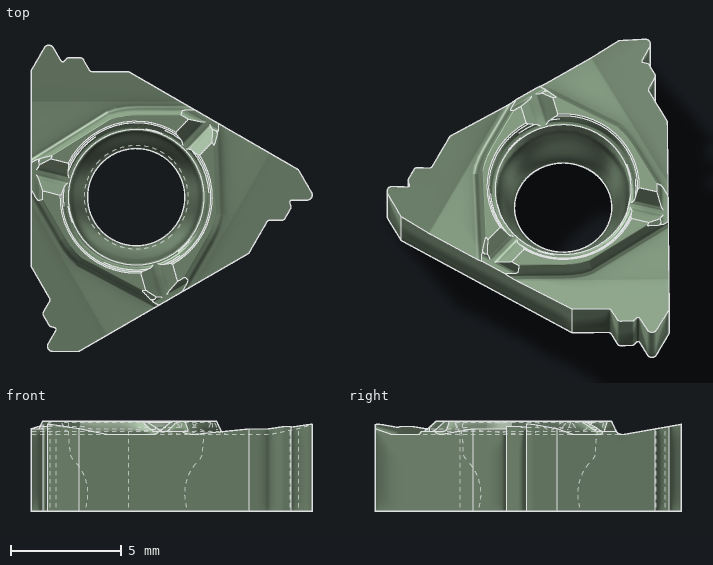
import cadquery as cq
import math

CORNER_ANGLES = (0, 120, 240)
REACH = 20.0
COINCIDENT = 1e-6

TOTAL_HEIGHT = 4.1
FLOOR_HEIGHT = 3.5
SEAT_HEIGHT = 3.63

INSCRIBED_RADIUS = 9.525 / 2
SIDE = (180, INSCRIBED_RADIUS)
NEXT_SIDE = (60, INSCRIBED_RADIUS)
REAR_FLANK = (150, 7.0)
FRONT_FLANK = (30, 0.14)
RELIEF = (135, 6.676)
SHOULDER = (90, 6.33)
SHOULDER_FLANK = (30, 1.047)
ROOT = (90, 5.7)
TOOTH_NOSE_RADIUS = 0.24
VALLEY_RADIUS = 0.085
SHOULDER_RADIUS = 0.16
ROOT_RADIUS = 0.16

RAKE_ANGLE = 10.0
RAKE_START = 4.29
RAKE_BLEND_RADIUS = 0.4
RAKE_OVERLAP = 0.5

WALL_DRAFT = 25.0
FRONT_WALL_FOOT = 4.2
FRONT_WALL_BEND = 24.0
REAR_WALL_ANGLE = 122.0
REAR_WALL_FOOT = 4.09
WALL_FOOT_RADIUS = 0.3
WALL_TOP_RADIUS = 0.06
END_WALL_FOOT = 4.57
END_WALL_FOOT_RADIUS = 0.165
FACET_ANGLE = 156.0
FACET_DRAFT = 50.0
FACET_TOP = 4.24
FACET_FOOT_HEIGHT = 3.72

GROOVE_DIRECTION = 46.0
GROOVE_HALF_WIDTH = 0.75
GROOVE_WALL_ANGLE = 38.5
GROOVE_ROOT_RADIUS = 0.3
GROOVE_INNER_END = 2.7

MOUTH_RADIUS = 3.45
MOUTH_FOOT_RADIUS = 3.3
MOUTH_FOOT_HEIGHT = 3.8
RIM_BREAK = 0.07
STEP_RADIUS = 3.12
HEAD_TOP_RADIUS = 3.08
HEAD_BOTTOM_RADIUS = 3.0
HEAD_BOTTOM_HEIGHT = 2.66
THROAT_RADIUS = 2.2
THROAT_HEIGHT = 0.8
THROAT_ARC_RADIUS = 2.15
THROAT_TOP_ANGLE = 46.0


def polar(radius, angle):
    return (radius * math.cos(math.radians(angle)), radius * math.sin(math.radians(angle)))


def meet(line_a, line_b):
    """Crossing point of two lines given as (normal direction, distance from the origin)."""
    (ax, ay), (bx, by) = polar(1, line_a[0]), polar(1, line_b[0])
    det = ax * by - ay * bx
    return ((line_a[1] * by - line_b[1] * ay) / det, (line_b[1] * ax - line_a[1] * bx) / det)


def turned(point, angle):
    x, y = point
    c, s = polar(1, angle)
    return (x * c - y * s, x * s + y * c)


def rounded_outline(plane, corners):
    """Closed outline through (point, radius) corners; radius 0 leaves a corner sharp."""
    path = None
    end = None
    for i, (point, radius) in enumerate(corners):
        here = cq.Vector(*point)
        back = (cq.Vector(*corners[i - 1][0]) - here).normalized()
        ahead = (cq.Vector(*corners[(i + 1) % len(corners)][0]) - here).normalized()
        half_angle = back.getAngle(ahead) / 2
        trim = radius / math.tan(half_angle)
        start = here + back * trim
        if path is None:
            path = cq.Workplane(plane).moveTo(start.x, start.y)
        elif (start - end).Length > COINCIDENT:
            path = path.lineTo(start.x, start.y)
        end = start
        if radius:
            bisector = (back + ahead).normalized()
            middle = here + bisector * (radius / math.sin(half_angle) - radius)
            end = here + ahead * trim
            path = path.threePointArc((middle.x, middle.y), (end.x, end.y))
    return path.close()


def rotated(solid, angle):
    return solid.rotate((0, 0, 0), (0, 0, 1), angle)


def outline_prism():
    corner = [
        (meet(SIDE, REAR_FLANK), 0),
        (meet(REAR_FLANK, FRONT_FLANK), TOOTH_NOSE_RADIUS),
        (meet(FRONT_FLANK, RELIEF), VALLEY_RADIUS),
        (meet(RELIEF, SHOULDER), SHOULDER_RADIUS),
        (meet(SHOULDER, SHOULDER_FLANK), SHOULDER_RADIUS),
        (meet(SHOULDER_FLANK, ROOT), ROOT_RADIUS),
        (meet(ROOT, NEXT_SIDE), 0),
    ]
    corners = [(turned(p, -angle), r) for angle in CORNER_ANGLES for p, r in corner]
    return rounded_outline("XY", corners).extrude(TOTAL_HEIGHT)


def rake_wedge():
    """Solid under one rake face, rising along +Y."""
    inner = RAKE_START - RAKE_OVERLAP
    rise = (REACH - RAKE_START) * math.tan(math.radians(RAKE_ANGLE))
    profile = [
        ((inner, 0), 0),
        ((inner, FLOOR_HEIGHT), 0),
        ((RAKE_START, FLOOR_HEIGHT), RAKE_BLEND_RADIUS),
        ((REACH, FLOOR_HEIGHT + rise), 0),
        ((REACH, 0), 0),
    ]
    return rounded_outline("YZ", profile).extrude(REACH, both=True)


def wall_profile(foot, foot_height, foot_radius, inner, skirt, top_radius=0.0):
    """Section through a hub wall: flat top, drafted wall, concave foot, then the `skirt` points."""
    lean = math.tan(math.radians(WALL_DRAFT))
    sharp_foot = foot - foot_radius * math.tan(math.radians(90 - WALL_DRAFT) / 2)
    top = sharp_foot - (TOTAL_HEIGHT - foot_height) * lean
    return rounded_outline("YZ", [
        ((inner, 0), 0),
        ((inner, TOTAL_HEIGHT), 0),
        ((top, TOTAL_HEIGHT), top_radius),
        ((sharp_foot, foot_height), foot_radius),
        *[(point, 0) for point in skirt],
    ])


def front_wall():
    """Region behind the wall facing the tooth: straight for X > 0, bending round the axis for X < 0."""
    def section(inner):
        skirt = [(FRONT_WALL_FOOT, FLOOR_HEIGHT), (FRONT_WALL_FOOT, 0)]
        return wall_profile(FRONT_WALL_FOOT, FLOOR_HEIGHT, WALL_FOOT_RADIUS, inner, skirt, WALL_TOP_RADIUS)

    straight = section(-REACH).extrude(REACH)
    bend = section(0).revolve(FRONT_WALL_BEND, (0, 0), (0, 1))
    beyond = rotated(section(-REACH).extrude(-REACH), FRONT_WALL_BEND)
    return straight.union(bend).union(beyond)


def rear_wall():
    skirt = [(REAR_WALL_FOOT, FLOOR_HEIGHT), (REAR_WALL_FOOT, 0)]
    section = wall_profile(
        REAR_WALL_FOOT, FLOOR_HEIGHT, WALL_FOOT_RADIUS, -REACH, skirt, WALL_TOP_RADIUS
    )
    return rotated(section.extrude(REACH, both=True), REAR_WALL_ANGLE - 90)


def end_wall():
    """Wall along the insert side, standing on a narrow ledge."""
    skirt = [(REACH, SEAT_HEIGHT), (REACH, 0)]
    section = wall_profile(END_WALL_FOOT, SEAT_HEIGHT, END_WALL_FOOT_RADIUS, -REACH, skirt)
    return rotated(section.extrude(REACH, both=True), SIDE[0] - 90)


def corner_facet():
    """Region behind a steeply leaning facet that spares everything below its foot."""
    foot = FACET_TOP + (TOTAL_HEIGHT - FACET_FOOT_HEIGHT) * math.tan(math.radians(FACET_DRAFT))
    section = (
        cq.Workplane("YZ")
        .moveTo(-REACH, 0)
        .lineTo(-REACH, TOTAL_HEIGHT)
        .lineTo(FACET_TOP, TOTAL_HEIGHT)
        .lineTo(foot, FACET_FOOT_HEIGHT)
        .lineTo(REACH, FACET_FOOT_HEIGHT)
        .lineTo(REACH, 0)
        .close()
    )
    return rotated(section.extrude(REACH, both=True), FACET_ANGLE - 90)


def groove():
    depth = TOTAL_HEIGHT - SEAT_HEIGHT
    root = GROOVE_HALF_WIDTH - depth / math.tan(math.radians(GROOVE_WALL_ANGLE))
    section = rounded_outline("YZ", [
        ((-GROOVE_HALF_WIDTH, TOTAL_HEIGHT), 0),
        ((-root, SEAT_HEIGHT), GROOVE_ROOT_RADIUS),
        ((root, SEAT_HEIGHT), GROOVE_ROOT_RADIUS),
        ((GROOVE_HALF_WIDTH, TOTAL_HEIGHT), 0),
    ])
    cutter = section.extrude(REACH).translate((GROOVE_INNER_END, 0, 0))
    return rotated(cutter, GROOVE_DIRECTION)


def screw_hole():
    """Turned profile: waisted throat, tapered head seat, step and drafted mouth with a broken rim."""
    centre_x = THROAT_RADIUS + THROAT_ARC_RADIUS
    exit_angle = math.degrees(math.asin(THROAT_HEIGHT / THROAT_ARC_RADIUS))
    bottom_inset, _ = polar(THROAT_ARC_RADIUS, exit_angle)
    top_inset, top_rise = polar(THROAT_ARC_RADIUS, THROAT_TOP_ANGLE)
    return (
        cq.Workplane("XZ")
        .moveTo(0, 0)
        .lineTo(centre_x - bottom_inset, 0)
        .threePointArc((THROAT_RADIUS, THROAT_HEIGHT), (centre_x - top_inset, THROAT_HEIGHT + top_rise))
        .tangentArcPoint((HEAD_BOTTOM_RADIUS, HEAD_BOTTOM_HEIGHT), relative=False)
        .lineTo(HEAD_TOP_RADIUS, SEAT_HEIGHT)
        .lineTo(STEP_RADIUS, SEAT_HEIGHT)
        .tangentArcPoint((MOUTH_FOOT_RADIUS, MOUTH_FOOT_HEIGHT), relative=False)
        .lineTo(MOUTH_RADIUS - RIM_BREAK, TOTAL_HEIGHT - RIM_BREAK)
        .lineTo(MOUTH_RADIUS, TOTAL_HEIGHT)
        .lineTo(0, TOTAL_HEIGHT)
        .close()
        .revolve(360, (0, 0), (0, 1))
    )


outline = outline_prism()
body = cq.Workplane("XY").rect(2 * REACH, 2 * REACH).extrude(FLOOR_HEIGHT)
hub = outline
for angle in CORNER_ANGLES:
    body = body.union(rotated(rake_wedge(), angle))
    for wall in (front_wall(), rear_wall(), end_wall(), corner_facet()):
        hub = hub.intersect(rotated(wall, angle))

result = body.intersect(outline).union(hub)
for angle in CORNER_ANGLES:
    result = result.cut(rotated(groove(), angle))
result = result.cut(screw_hole())